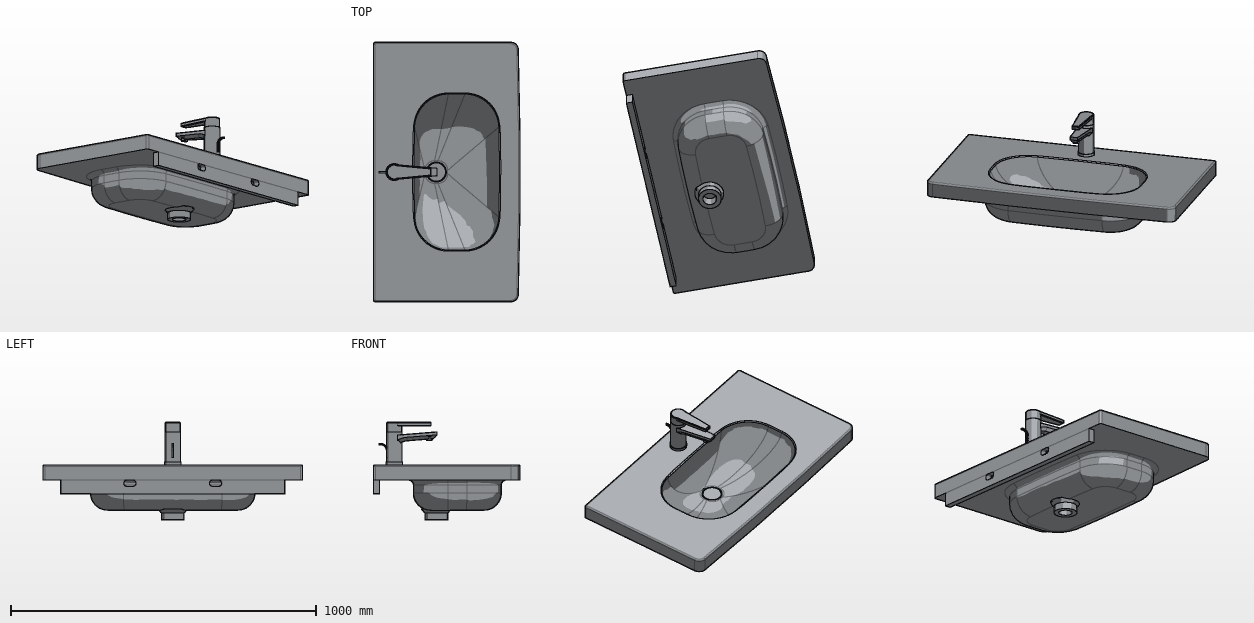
import cadquery as cq
import math


selection_margin = 1.0

deck_length = 850.0
deck_depth = 480.0
deck_thickness = 50.0
front_bulge = 7.0
front_corner_radius = 25.0
back_corner_radius = 7.0
deck_edge_fillet = 5.0

rail_length = 734.5
rail_thickness = 20.0
rail_bottom = -95.0
slot_spacing = 280.5
slot_length = 40.0
slot_height = 20.0
slot_center_z = -60.0

bowl_length = 512.0
bowl_back = 132.0
bowl_front = 413.0
bowl_side_bulge = 8.0
bowl_end_bulge = 3.0
bowl_corner_radius = 112.0
cavity_depth = 138.0
cavity_curve_power = 1.7
cavity_levels = 6
cavity_floor_width = 75.0
cavity_floor_bulge = 2.0
cavity_floor_corner_radius = 32.0
rim_chamfer = 3.0
shell_length = 539.0
shell_back = 130.0
shell_front = 419.0
shell_bottom = -149.0
shell_bottom_fillet = 57.0
cove_radius = 16.0

drain_x = 206.0
drain_bottom = -180.0
drain_diameter = 75.0
drain_skirt_top = -144.5
drain_skirt_bottom = -158.0
drain_skirt_diameter = 99.0
drain_bore_diameter = 44.0
plug_diameter = 60.0
plug_thickness = 7.0
plug_dome_rise = 3.0
plug_seat_diameter = 65.5
plug_seat_depth = 7.0
plug_seat_bottom = -cavity_depth - plug_seat_depth

faucet_x = 68.0
base_diameter = 55.0
base_height = 8.5
column_diameter = 52.0
column_top = 108.0
column_back = faucet_x - column_diameter / 2

cap_diameter = 50.0
lever_top = 139.0
lever_thickness = 13.0
handle_root_width = 48.0
lever_tip_x = 189.0
lever_tip_width = 25.0
lever_chamfer = 2.5

spout_slope = 0.08
spout_tip_x = 208.0
spout_tip_top = 108.0
spout_nose_height = 10.0
spout_lip_x = 195.5
spout_lip_z = 85.0
spout_bend_x = 110.5
spout_root_bottom = 56.0
spout_root_width = 49.0
spout_tip_width = 25.0
spout_chamfer_height = 12.0
spout_chamfer_width = 7.0

aerator_diameter = 20.0
aerator_x = 183.0
aerator_drop = 4.0
aerator_depth = 8.5

rod_width = 5.0
rod_thickness = 4.0
rod_tip_x = 19.0
rod_top = 70.0
rod_bottom = 24.0
rod_inner_radius = 19.0


def bowed_outline(center_x, depth, length, side_bulge, end_bulge, corner_radius, z):
    """Rounded rectangle whose long sides and ends bow outward, as a wire at height z."""
    half_depth = depth / 2
    half_length = length / 2
    corner_x = half_depth - side_bulge
    corner_y = half_length - end_bulge
    wire = (
        cq.Workplane("XY", origin=(center_x, 0, z))
        .moveTo(-corner_x, -corner_y)
        .threePointArc((0, -half_length), (corner_x, -corner_y))
        .threePointArc((half_depth, 0), (corner_x, corner_y))
        .threePointArc((0, half_length), (-corner_x, corner_y))
        .threePointArc((-half_depth, 0), (-corner_x, -corner_y))
        .close()
        .val()
    )
    return wire.fillet2D(corner_radius, wire.Vertices())


def cylinder(diameter, x, bottom, top):
    return cq.Workplane("XY", origin=(x, 0, bottom)).circle(diameter / 2).extrude(top - bottom)


def make_deck():
    half_length = deck_length / 2
    front_corner_x = deck_depth - front_bulge
    deck = (
        cq.Workplane("XY", origin=(0, 0, -deck_thickness))
        .moveTo(0, -half_length)
        .lineTo(front_corner_x, -half_length)
        .threePointArc((deck_depth, 0), (front_corner_x, half_length))
        .lineTo(0, half_length)
        .close()
        .extrude(deck_thickness)
    )
    deck = deck.edges("|Z").edges(">X").fillet(front_corner_radius)
    deck = deck.edges("|Z").edges("<X").fillet(back_corner_radius)
    return deck.faces(">Z").edges().fillet(deck_edge_fillet)


def make_rail():
    """Bar flush with the back of the deck, pierced by two horizontal bolt slots."""
    rail = cq.Workplane("XY").box(
        rail_thickness, rail_length, -deck_thickness - rail_bottom, centered=(False, True, False)
    )
    rail = rail.translate((0, 0, rail_bottom))
    slots = (
        cq.Workplane("YZ")
        .pushPoints([(side * slot_spacing / 2, slot_center_z) for side in (-1, 1)])
        .slot2D(slot_length, slot_height)
        .extrude(rail_thickness)
    )
    return rail.cut(slots)


def make_shell():
    """Outside of the bowl, hanging below the deck."""
    outline = bowed_outline(
        (shell_back + shell_front) / 2,
        shell_front - shell_back,
        shell_length,
        bowl_side_bulge,
        bowl_end_bulge,
        bowl_corner_radius,
        shell_bottom,
    )
    height = -deck_thickness - shell_bottom
    shell = cq.Workplane(cq.Solid.extrudeLinear(outline, [], cq.Vector(0, 0, height)))
    return shell.faces("<Z").edges().fillet(shell_bottom_fillet)


def make_drain_outlet():
    """Pipe under the bowl with a conical skirt against the bowl floor."""
    pipe = cylinder(drain_diameter, drain_x, drain_bottom, -cavity_depth)
    skirt = cq.Workplane(
        cq.Solid.makeCone(
            drain_diameter / 2,
            drain_skirt_diameter / 2,
            drain_skirt_top - drain_skirt_bottom,
            pnt=cq.Vector(drain_x, 0, drain_skirt_bottom),
        )
    )
    return pipe.union(skirt)


def blend(at_floor, at_rim, share):
    return at_floor + (at_rim - at_floor) * share


def cavity_section(level):
    """Outline of the bowl's inside at one level, from the rim (0) down to the floor."""
    angle = math.pi / 2 * level / cavity_levels
    share = math.cos(angle) ** (2 / cavity_curve_power)
    drop = cavity_depth * math.sin(angle) ** (2 / cavity_curve_power)
    return bowed_outline(
        blend(drain_x, (bowl_back + bowl_front) / 2, share),
        blend(cavity_floor_width, bowl_front - bowl_back, share),
        blend(cavity_floor_width, bowl_length, share),
        blend(cavity_floor_bulge, bowl_side_bulge, share),
        blend(cavity_floor_bulge, bowl_end_bulge, share),
        blend(cavity_floor_corner_radius, bowl_corner_radius, share),
        -drop,
    )


def make_cavity():
    """Inside of the bowl: outlines that shrink toward the drain along a rounded profile."""
    sections = [cavity_section(level) for level in range(cavity_levels + 1)]
    return cq.Workplane(cq.Solid.makeLoft(sections))


def edges_around(back, front, length, z):
    """Selector for the edges of a bowl outline that lies at height z."""
    return cq.selectors.BoxSelector(
        (back - selection_margin, -length / 2 - selection_margin, z - selection_margin),
        (front + selection_margin, length / 2 + selection_margin, z + selection_margin),
    )


def make_basin():
    """Deck, rail, bowl and drain outlet as one casting."""
    basin = make_deck().union(make_shell())
    cove_edges = edges_around(shell_back, shell_front, shell_length, -deck_thickness)
    basin = basin.edges(cove_edges).fillet(cove_radius)
    basin = basin.union(make_drain_outlet())
    basin = basin.cut(make_cavity())
    rim_edges = edges_around(bowl_back, bowl_front, bowl_length, 0)
    basin = basin.edges(rim_edges).chamfer(rim_chamfer)
    basin = basin.cut(cylinder(plug_seat_diameter, drain_x, plug_seat_bottom, 0))
    basin = basin.cut(cylinder(drain_bore_diameter, drain_x, drain_bottom, 0))
    return basin.union(make_rail(), clean=False)


def make_plug():
    """Drain plug: a disc with a shallow domed top, resting on its seat."""
    radius = plug_diameter / 2
    dome_radius = (radius**2 + plug_dome_rise**2) / (2 * plug_dome_rise)
    dome_top = plug_seat_bottom + plug_thickness + plug_dome_rise
    disc = cylinder(plug_diameter, drain_x, plug_seat_bottom, dome_top)
    dome = cq.Workplane("XY", origin=(drain_x, 0, dome_top - dome_radius)).sphere(dome_radius)
    return disc.intersect(dome)


def make_base_ring():
    return cylinder(base_diameter, faucet_x, 0, base_height)


def make_column_blank():
    return cylinder(column_diameter, faucet_x, base_height, column_top)


def make_column():
    """Faucet column with a slot that holds the lift rod."""
    return make_column_blank().cut(make_lift_rod())


def tapered_arm(root_width, tip_x, tip_width, bottom, top):
    """Flat arm that starts at the faucet axis and narrows to its tip."""
    return (
        cq.Workplane("XY", origin=(0, 0, bottom))
        .moveTo(faucet_x, -root_width / 2)
        .lineTo(tip_x, -tip_width / 2)
        .lineTo(tip_x, tip_width / 2)
        .lineTo(faucet_x, root_width / 2)
        .close()
        .extrude(top - bottom)
    )


def make_lever():
    """Round cap on the column with a flat tapered handle at its top."""
    handle_bottom = lever_top - lever_thickness
    cap = cylinder(cap_diameter, faucet_x, column_top, lever_top)
    handle = tapered_arm(handle_root_width, lever_tip_x, lever_tip_width, handle_bottom, lever_top)
    handle = handle.faces("<Z").edges("not <X").chamfer(lever_chamfer)
    lever = cap.union(handle)
    return lever.faces(">Z").edges().chamfer(lever_chamfer)


def make_spout_blank():
    """Rising spout, curved below its root and narrowing to the tip, before it is fitted."""
    root_top = spout_tip_top - spout_slope * (spout_tip_x - faucet_x)
    bend_z = spout_lip_z - spout_slope * (spout_lip_x - spout_bend_x)
    side = (
        cq.Workplane("XZ", origin=(0, spout_root_width / 2, 0))
        .moveTo(faucet_x, root_top)
        .lineTo(spout_tip_x, spout_tip_top)
        .lineTo(spout_tip_x, spout_tip_top - spout_nose_height)
        .lineTo(spout_lip_x, spout_lip_z)
        .lineTo(spout_bend_x, bend_z)
        .tangentArcPoint((faucet_x, spout_root_bottom), relative=False)
        .close()
        .extrude(spout_root_width)
    )
    plan = tapered_arm(spout_root_width, spout_tip_x, spout_tip_width, spout_root_bottom, spout_tip_top)
    spout = side.intersect(plan)
    lower_edges = cq.selectors.BoxSelector(
        (faucet_x + selection_margin, -spout_root_width, spout_root_bottom),
        (spout_lip_x - selection_margin, spout_root_width, spout_lip_z),
    )
    lower_sides = spout.edges(lower_edges).edges("not |Y")
    return lower_sides.chamfer(spout_chamfer_height, spout_chamfer_width)


def make_aerator():
    """Short outlet disc set square into the sloping underside of the spout."""
    underside_z = spout_lip_z - spout_slope * (spout_lip_x - aerator_x)
    plane = cq.Plane(
        origin=(aerator_x, 0, underside_z),
        xDir=(1, 0, spout_slope),
        normal=(-spout_slope, 0, 1),
    )
    disc = cq.Workplane(plane).workplane(offset=-aerator_drop).circle(aerator_diameter / 2)
    return disc.extrude(aerator_drop + aerator_depth)


def make_spout():
    """Spout fitted against the column, with a recess for the aerator."""
    return make_spout_blank().cut(make_column_blank()).cut(make_aerator())


def make_lift_rod():
    """Flat rod that runs up the back of the column and bends out to a finger grip."""
    outer_radius = rod_inner_radius + rod_thickness
    bend_x = column_back - rod_inner_radius
    bend_z = rod_top - outer_radius
    diagonal = math.sqrt(0.5)
    return (
        cq.Workplane("XZ", origin=(0, rod_width / 2, 0))
        .moveTo(rod_tip_x, rod_top)
        .lineTo(bend_x, rod_top)
        .threePointArc(
            (bend_x + outer_radius * diagonal, bend_z + outer_radius * diagonal),
            (bend_x + outer_radius, bend_z),
        )
        .lineTo(bend_x + outer_radius, rod_bottom)
        .lineTo(column_back, rod_bottom)
        .lineTo(column_back, bend_z)
        .threePointArc(
            (bend_x + rod_inner_radius * diagonal, bend_z + rod_inner_radius * diagonal),
            (bend_x, bend_z + rod_inner_radius),
        )
        .lineTo(rod_tip_x, bend_z + rod_inner_radius)
        .close()
        .extrude(rod_width)
    )


basin = make_basin()
plug = make_plug()
base_ring = make_base_ring()
column = make_column()
lever = make_lever()
spout = make_spout()
aerator = make_aerator()
lift_rod = make_lift_rod()

result = cq.Compound.makeCompound(
    [
        basin.val(),
        plug.val(),
        base_ring.val(),
        column.val(),
        lever.val(),
        spout.val(),
        aerator.val(),
        lift_rod.val(),
    ]
)